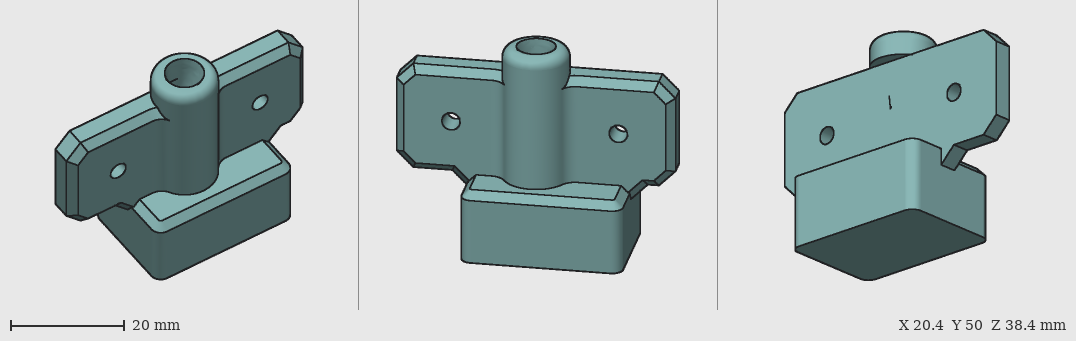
import cadquery as cq
import math


column_radius = 6.0
head_height = 5.0
head_rounding = 2.0

plate_width = 50.0
plate_height = 20.0
plate_thickness = 5.0
plate_corner = 3.0
bevel = 1.5
total_height = 38.4
plate_top = total_height - head_height
plate_bottom = plate_top - plate_height

base_length = 20.4
base_rear_depth = 7.4
base_y_min = -12.0
base_y_max = 17.0
base_height = 13.5
base_corner_radius = 2.0

brace_size = 3.0

screw_hole_diameter = 3.25
screw_hole_spacing = 30.0
screw_hole_z = plate_bottom + plate_height / 2

blend_radius = 3.0

funnel_radius = 3.5
funnel_depth = 14.0
funnel_wall = 0.01

plate_back_x = -funnel_radius
plate_front_x = plate_back_x + plate_thickness
base_width = base_y_max - base_y_min
base_rear_x = plate_back_x - base_rear_depth
base_front_depth = base_length - base_rear_depth


def base_block(x_start, depth):
    """Block as wide as the base, running from x_start towards +X."""
    return cq.Workplane("XY").box(depth, base_width, base_height, centered=False).translate(
        (x_start, base_y_min, 0)
    )


def make_base():
    """Base with rounded corners; only the part in front of the plate's back is bevelled."""
    rear = base_block(base_rear_x, base_rear_depth).edges("|Z and <X").fillet(base_corner_radius)
    front = base_block(plate_back_x, base_front_depth).edges("|Z and >X").fillet(base_corner_radius)
    front = front.faces(">Z").edges("not <X").chamfer(bevel)
    return rear.union(front)


def make_plate():
    """Plate with cut corners and braces, bevelled all round its front face."""
    half_width = plate_width / 2
    brace_bottom = plate_bottom - brace_size
    outline = [
        (-half_width + plate_corner, plate_top),
        (-half_width, plate_top - plate_corner),
        (-half_width, plate_bottom + plate_corner),
        (-half_width + plate_corner, plate_bottom),
        (base_y_min - brace_size, plate_bottom),
        (base_y_min, brace_bottom),
        (base_y_max, brace_bottom),
        (base_y_max + brace_size, plate_bottom),
        (half_width - plate_corner, plate_bottom),
        (half_width, plate_bottom + plate_corner),
        (half_width, plate_top - plate_corner),
        (half_width - plate_corner, plate_top),
    ]
    plate = cq.Workplane("YZ").workplane(offset=plate_back_x).polyline(outline).close()
    return plate.extrude(plate_thickness).faces(">X").chamfer(bevel)


def add_blend(plate):
    """Thicken the plate's middle and scoop it so that it flows into the column."""
    scoop_x = plate_front_x + blend_radius
    scoop_y = math.sqrt((column_radius + blend_radius) ** 2 - scoop_x**2)
    blend_end_x = scoop_x * column_radius / (column_radius + blend_radius)
    web = cq.Workplane("XY").box(
        blend_end_x - plate_back_x, 2 * scoop_y, plate_height, centered=(False, True, False)
    )
    for y in (-scoop_y, scoop_y):
        scoop = cq.Workplane("XY").circle(blend_radius).extrude(plate_height)
        flare = cq.Workplane(cq.Solid.makeCone(blend_radius, blend_radius + bevel, bevel))
        flare = flare.translate((0, 0, plate_height - bevel))
        for cutter in (scoop, flare):
            web = web.cut(cutter.translate((scoop_x - plate_back_x, y, 0)))
    return plate.union(web.translate((plate_back_x, 0, plate_bottom)))


def make_column():
    """Round column, cut flush with the plate's back below its head."""
    column = cq.Workplane("XY").circle(column_radius).extrude(total_height)
    column = column.faces(">Z").edges().fillet(head_rounding)
    behind_plate = cq.Workplane("XY").box(
        column_radius, 2 * column_radius, plate_top, centered=(False, True, False)
    )
    return column.cut(behind_plate.translate((plate_back_x - column_radius, 0, 0)))


def make_funnel():
    """Upright cone sheared so that its tip lies below the rim's rear point."""
    cone = cq.Solid.makeCone(0, funnel_radius, funnel_depth)
    lean = (funnel_radius - funnel_wall) / funnel_depth
    shear = cq.Matrix([[1, 0, lean, 0], [0, 1, 0, 0], [0, 0, 1, 0]])
    leaning = cone.transformGeometry(shear)
    tip_x = plate_back_x + funnel_wall
    return cq.Workplane(leaning).translate((tip_x, 0, total_height - funnel_depth))


def make_screw_holes():
    """Pins that cut the two screw holes along X."""
    return (
        cq.Workplane("YZ")
        .workplane(offset=plate_back_x)
        .pushPoints([(-screw_hole_spacing / 2, screw_hole_z), (screw_hole_spacing / 2, screw_hole_z)])
        .circle(screw_hole_diameter / 2)
        .extrude(plate_thickness)
    )


body = make_base().union(add_blend(make_plate())).union(make_column())
result = body.cut(make_funnel()).cut(make_screw_holes())